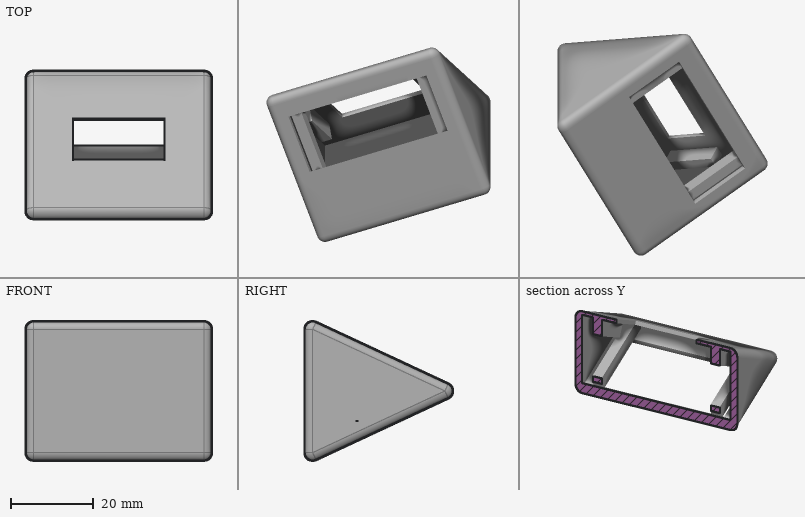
import cadquery as cq
import math

length = 45.0
depth = 35.85
height = 33.7
edge_radius = 2.0

upper_wall = 1.0
lower_wall = 1.5
front_wall = 2.0
end_wall = 2.0

window_width = 22.0
window_start = 11.45
window_length = 11.02

lid_width = 36.0
lid_start = 3.8
floor_depth = 17.5

bar_gap = 30.05
bar_width = 2.6
bar_height = 3.4
bar_length = 20.35
rail_height = 4.05
rail_overlap = 1.45

front_y = -depth / 2
apex_center_y = depth / 2 - edge_radius
slope = math.atan2(height / 2 - edge_radius, depth - 2 * edge_radius)
sharp_apex_y = apex_center_y + edge_radius / math.sin(slope)

UPPER = 1
LOWER = -1
CUT_MARGIN = 0.45


def face_z(y, inset):
    """Height above mid-plane, at y, of a plane lying inset below a sloped face."""
    return (sharp_apex_y - y) * math.tan(slope) - inset / math.cos(slope)


def slope_point(side, along, inset):
    """(y, z) of a point a distance along a sloped face and inset below it."""
    radius_left = edge_radius - inset
    y = apex_center_y - along * math.cos(slope) + radius_left * math.sin(slope)
    z = along * math.sin(slope) + radius_left * math.cos(slope)
    return y, side * z


def prism(points, width, center_x=0):
    """YZ outline extruded along X, centred on center_x."""
    return cq.Workplane("YZ", origin=(center_x, 0, 0)).polyline(points).close().extrude(width / 2, both=True)


def slope_block(side, start, end, top, bottom, width, center_x=0):
    """Block square to a sloped face, between two insets and two places along it."""
    corners = [(start, top), (end, top), (end, bottom), (start, bottom)]
    return prism([slope_point(side, along, inset) for along, inset in corners], width, center_x)


def wedge():
    front_z = face_z(front_y, 0)
    outline = [(front_y, -front_z), (front_y, front_z), (sharp_apex_y, 0)]
    return prism(outline, length).edges().fillet(edge_radius)


def y_between(upper_inset, lower_inset):
    """Y where a plane inset below the upper face meets one inset above the lower face."""
    return sharp_apex_y - (upper_inset + lower_inset) / (2 * math.sin(slope))


def cavity():
    inner_front_y = front_y + front_wall
    apex_y = y_between(upper_wall, lower_wall)
    floor_end_y = y_between(floor_depth, lower_wall)
    outline = [
        (inner_front_y, face_z(inner_front_y, floor_depth)),
        (inner_front_y, face_z(inner_front_y, upper_wall)),
        (apex_y, face_z(apex_y, upper_wall)),
        (floor_end_y, face_z(floor_end_y, floor_depth)),
    ]
    return prism(outline, length - 2 * end_wall)


def lid_opening():
    outline = [slope_point(LOWER, lid_start, inset) for inset in (lower_wall, -CUT_MARGIN)]
    for inset in (-CUT_MARGIN, lower_wall):
        y = y_between(floor_depth, inset)
        outline.append((y, face_z(y, floor_depth)))
    return prism(outline, lid_width)


window_end = window_start + window_length
window = slope_block(
    UPPER, window_start, window_end, -CUT_MARGIN, upper_wall + CUT_MARGIN, window_width
)

hollow = cavity()
bar_x = (bar_gap + bar_width) / 2
for x in (-bar_x, bar_x):
    bar = slope_block(
        LOWER, 0, bar_length, lower_wall - CUT_MARGIN, lower_wall + bar_height, bar_width, x
    )
    rail = slope_block(
        UPPER, window_start - rail_overlap, window_end + rail_overlap,
        upper_wall - CUT_MARGIN, upper_wall + rail_height, bar_width, x,
    )
    hollow = hollow.cut(bar).cut(rail)

result = wedge().cut(hollow).cut(window).cut(lid_opening())